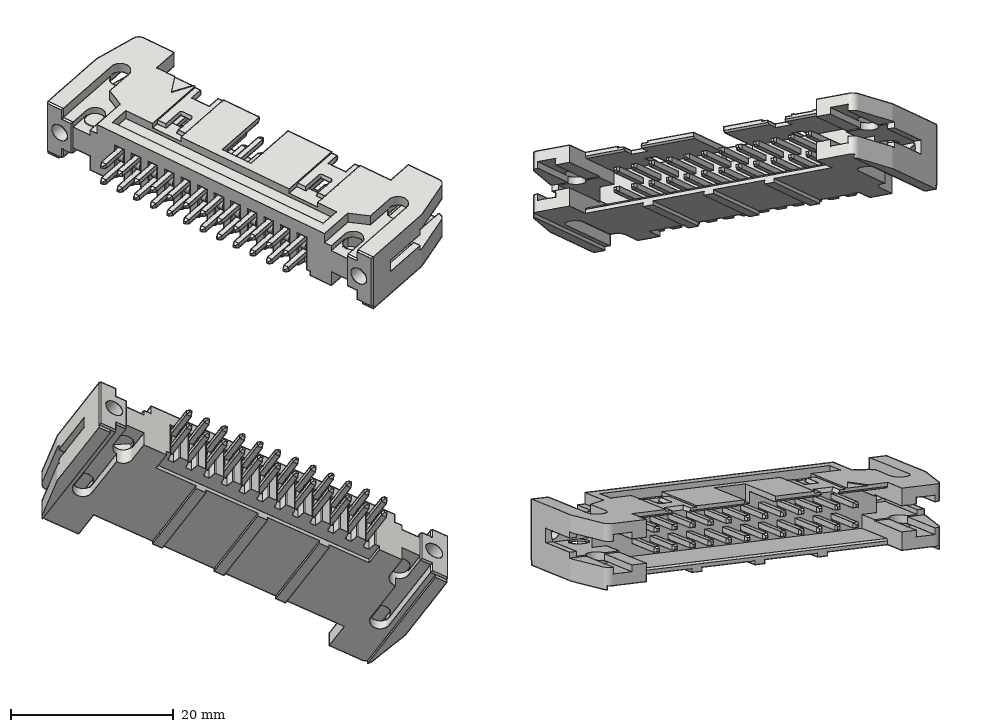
import cadquery as cq
import math


length = 49.7
height = 7.85
body_depth = 13.0
ear_depth = 16.65
ear_inner_x = 17.9
ear_bend_y = 10.05
ear_tip_x = 23.35
ear_corner_radius = 1.0
half_length = length / 2

cavity_floor_y = 6.4
wall = 0.75
mouth_chamfer = 0.25
ceiling_z = height - wall

latch_z = 3.95
jaw_height = 3.3
jaw_y = 9.7
jaw_channel_height = 4.95
slot_height = 1.8
slot_plate = 1.0
pivot_y = 1.5
pivot_height = 3.0
slot_y = 3.6
latch_inner_x = 17.4
latch_ramp_y = 4.8

hole_radius = 1.3
mount_hole_radius = 1.2
rear_hole = (21.2, 10.0)
front_hole = (19.7, 2.8)
mount_hole_x = 22.85
rear_pocket_depth = 1.45
front_pocket_depth = 2.25
ramp_start_y = 6.05

pad_height = 0.3
pad_edge_inset = 0.1
foot_height = 0.5
ear_foot_width = 1.65
ear_foot_depth = 16.45
rib_width = 1.4
rib_spacing = 8.8

strip_half_length = 16.1
strip_y = (1.5, 4.2)
strip_depth = 1.25
recess_width = 4.3
recess_depth = 0.2
step_drop = 0.5
notch_size = (2.7, 1.85)
window_size = (1.9, 3.1)
window_corner_radius = 0.3
recesses = ((-9.85, 5.3), (11.05, 5.95))
edge_draft = 18.0
key_width = 4.35
key_y = 5.35
key_floor_z = 5.6
mark_x = -13.7
mark_width = 2.85
mark_length = 2.6
mark_depth = 0.1

columns = 12
pitch = 2.55
pin_size = 0.7
pin_tip_size = 0.35
pin_tip_length = 0.45
pin_front_y = -3.7
pin_rear_y = 12.4

trough_width = 1.5
trough_top_z = 5.9
trough_mouth_depth = 0.1
trough_mouth_inset = 0.15
trough_depth = 1.1
trough_floor_width = 0.8
bump_radius = 0.95
pin_relief_size = 0.3
step_half_length = 15.2
step_height = 0.65
step_depth = 2.5

column_x = [(i - (columns - 1) / 2) * pitch for i in range(columns)]
row_z = [latch_z - pitch / 2, latch_z + pitch / 2]


def block(x0, x1, y0, y1, z0, z1):
    return cq.Workplane("XY").box(x1 - x0, y1 - y0, z1 - z0, centered=False).translate((x0, y0, z0))


def plate(points, z0, z1):
    return cq.Workplane("XY").workplane(offset=z0).polyline(points).close().extrude(z1 - z0)


def both_ends(left):
    return left.union(left.mirror("YZ"))


def make_housing():
    body = block(-ear_inner_x, ear_inner_x, 0, body_depth, 0, height)
    ear = plate(
        [
            (-ear_inner_x, 0),
            (-half_length, 0),
            (-half_length, ear_bend_y),
            (-ear_tip_x, ear_depth),
            (-ear_inner_x, ear_depth),
        ],
        0,
        height,
    )
    ear = ear.edges(cq.selectors.NearestToPointSelector((-ear_tip_x, ear_depth, height / 2)))
    return body.union(both_ends(ear.fillet(ear_corner_radius)))


def make_pads():
    inner_x = -front_hole[0] - hole_radius
    pocket_x = -rear_hole[0] - hole_radius
    taper = math.degrees(math.atan(pad_edge_inset / pad_height))
    pad = (
        cq.Workplane("XZ")
        .polyline(
            [
                (-half_length, 0),
                (pocket_x, 0),
                (pocket_x, rear_pocket_depth),
                (inner_x, rear_pocket_depth),
                (inner_x, height - rear_pocket_depth),
                (pocket_x, height - rear_pocket_depth),
                (pocket_x, height),
                (-half_length, height),
            ]
        )
        .close()
        .extrude(pad_height, taper=taper)
    )
    return both_ends(pad)


def make_feet():
    foot_blank = block(-half_length, ear_foot_width - half_length, 0, ear_foot_depth, -foot_height, 0)
    outline = make_housing().translate((0, 0, -foot_height))
    feet = both_ends(foot_blank.intersect(outline))
    for x in (-rib_spacing, 0, rib_spacing):
        rib = block(x - rib_width / 2, x + rib_width / 2, step_depth, body_depth, -foot_height, 0)
        feet = feet.union(rib)
    return feet


def make_cavity():
    profile = [
        (cavity_floor_y, wall),
        (body_depth - mouth_chamfer, wall),
        (body_depth, wall - mouth_chamfer),
        (body_depth, ceiling_z + mouth_chamfer),
        (body_depth - mouth_chamfer, ceiling_z),
        (cavity_floor_y, ceiling_z),
    ]
    plane = cq.Workplane("YZ").workplane(offset=-ear_inner_x)
    return plane.polyline(profile).close().extrude(2 * ear_inner_x)


def latch_block(x0, x1, y0, y1, opening_height):
    return block(x0, x1, y0, y1, latch_z - opening_height / 2, latch_z + opening_height / 2)


def make_latch_openings():
    """Rear jaw with a taller channel inside it, and a slotted side plate in front of the jaw."""
    jaw = latch_block(-half_length, -ear_inner_x, jaw_y, ear_depth, jaw_height)
    channel_x0 = -rear_hole[0] - hole_radius
    channel_x1 = -rear_hole[0] + hole_radius
    channel = latch_block(channel_x0, channel_x1, jaw_y, ear_depth, jaw_channel_height)
    plate_x = slot_plate - half_length
    slot = latch_block(-half_length, plate_x, slot_y, jaw_y, slot_height)
    pivot_space = plate(
        [
            (plate_x, pivot_y),
            (-latch_inner_x, pivot_y),
            (-latch_inner_x, latch_ramp_y),
            (channel_x1, cavity_floor_y),
            (-ear_inner_x, cavity_floor_y),
            (-ear_inner_x, jaw_y),
            (plate_x, jaw_y),
        ],
        latch_z - pivot_height / 2,
        latch_z + pivot_height / 2,
    )
    return both_ends(jaw.union(channel).union(slot).union(pivot_space))


def rounded_pocket(hole, z0, z1):
    """Slot from the front face to a round end at the hole."""
    x, y = -hole[0], hole[1]
    round_end = cq.Workplane("XY").workplane(offset=z0).center(x, y).circle(hole_radius).extrude(z1 - z0)
    return round_end.union(block(x - hole_radius, x + hole_radius, -pad_height, y, z0, z1))


def make_ear_pockets():
    holes = cq.Workplane("XY").pushPoints([(-x, y) for x, y in (rear_hole, front_hole)])
    cut = holes.circle(hole_radius).extrude(height)
    for hole, depth in ((rear_hole, rear_pocket_depth), (front_hole, front_pocket_depth)):
        cut = cut.union(rounded_pocket(hole, 0, depth))
        cut = cut.union(rounded_pocket(hole, height - depth, height))
    rear_pocket_x = -rear_hole[0] + hole_radius
    ramp = plate(
        [
            (-rear_hole[0], 0),
            (-latch_inner_x, 0),
            (-latch_inner_x, latch_ramp_y),
            (rear_pocket_x, ramp_start_y),
            (-rear_hole[0], ramp_start_y),
        ],
        height - rear_pocket_depth,
        height,
    )
    mount = cq.Workplane("XZ").center(-mount_hole_x, latch_z).circle(mount_hole_radius)
    mount_hole = mount.extrude(ear_depth, both=True)
    return both_ends(cut.union(ramp).union(mount_hole))


def make_top_recess(x, step_y):
    """Shallow channel with a rear notch, and a deeper front step that runs into a window."""
    floor_z = height - recess_depth
    x0, x1 = x - recess_width / 2, x + recess_width / 2
    channel = block(x0, x1, strip_y[1], body_depth, floor_z, height)
    window_half = window_size[0] / 2
    window_top = step_y + window_size[1]
    floor = cq.Workplane("XY", origin=(x, 0, floor_z))
    slab = floor_z - ceiling_z
    notch = floor.center(0, body_depth).rect(notch_size[0], 2 * notch_size[1])
    notch = notch.extrude(-slab, taper=edge_draft)
    step = floor.rect(2 * recess_width, 2 * step_y).extrude(-step_drop, taper=edge_draft)
    window_outline = cq.Sketch().rect(window_size[0], 2 * window_top).vertices(">Y")
    window = floor.placeSketch(window_outline.fillet(window_corner_radius))
    step = step.union(window.extrude(-step_drop, taper=edge_draft))
    inset = step_drop * math.tan(math.radians(edge_draft))
    hole_half = window_half - inset
    hole = block(x - hole_half, x + hole_half, cavity_floor_y, window_top - inset, ceiling_z, floor_z)
    below_channel = block(x0, x1, strip_y[1], body_depth, ceiling_z, floor_z)
    return channel.union(step.union(notch).intersect(below_channel)).union(hole)


def make_top_cuts():
    cut = block(-strip_half_length, strip_half_length, *strip_y, height - strip_depth, height)
    for x, step_y in recesses:
        cut = cut.union(make_top_recess(x, step_y))
    cut = cut.union(block(-key_width / 2, key_width / 2, key_y, body_depth, key_floor_z, height))
    mark = plate(
        [
            (mark_x - mark_width / 2, body_depth),
            (mark_x, body_depth - mark_length),
            (mark_x + mark_width / 2, body_depth),
        ],
        height - mark_depth,
        height,
    )
    return cut.union(mark)


def make_trough():
    """Drafted trough around one pin pair, with a round bump left between the two pins
    and a sloped relief under the lower pin.
    """
    mouth_taper = math.degrees(math.atan(trough_mouth_inset / trough_mouth_depth))
    neck_side = (trough_width - trough_floor_width) / 2 - trough_mouth_inset
    neck_taper = math.degrees(math.atan(neck_side / (trough_depth - trough_mouth_depth)))
    neck_y = trough_mouth_depth
    middle_z = trough_top_z / 2
    mouth = cq.Workplane("XZ").center(0, middle_z).rect(trough_width, trough_top_z)
    mouth = mouth.extrude(-trough_mouth_depth, taper=mouth_taper)
    neck = cq.Workplane("XZ", origin=(0, neck_y, middle_z)).rect(
        trough_width - 2 * trough_mouth_inset, trough_top_z - 2 * trough_mouth_inset
    )
    neck = neck.extrude(neck_y - trough_depth, taper=neck_taper)
    bump = cq.Workplane("YZ").center(trough_depth, latch_z).circle(bump_radius)
    bump = bump.extrude(trough_floor_width / 2, both=True)
    pin_bottom_z = row_z[0] - pin_size / 2
    relief = (
        cq.Workplane("YZ")
        .polyline(
            [
                (trough_depth, pin_bottom_z),
                (trough_depth + pin_relief_size, pin_bottom_z),
                (trough_depth, pin_bottom_z - pin_relief_size),
            ]
        )
        .close()
        .extrude(pin_size / 2, both=True)
    )
    return mouth.union(neck).cut(bump).union(relief)


def make_front_cuts():
    cut = block(-step_half_length, step_half_length, 0, step_depth, 0, step_height)
    trough = make_trough()
    for x in column_x:
        cut = cut.union(trough.translate((x, 0, 0)))
    return cut


def make_pin():
    middle_y = (pin_front_y + pin_rear_y) / 2
    half_shank = (pin_rear_y - pin_front_y) / 2 - pin_tip_length
    taper = math.degrees(math.atan((pin_size - pin_tip_size) / 2 / pin_tip_length))
    shank = cq.Workplane("XZ").rect(pin_size, pin_size).extrude(half_shank)
    tip = cq.Workplane("XZ", origin=(0, -half_shank, 0)).rect(pin_size, pin_size)
    half_pin = shank.union(tip.extrude(pin_tip_length, taper=taper))
    return half_pin.union(half_pin.mirror("XZ")).translate((0, middle_y, 0))


result = make_housing().union(make_pads())
for removed in (make_cavity(), make_latch_openings(), make_ear_pockets(), make_top_cuts(), make_front_cuts()):
    result = result.cut(removed)
result = result.union(make_feet())
pin = make_pin()
for x in column_x:
    for z in row_z:
        result = result.union(pin.translate((x, 0, z)))